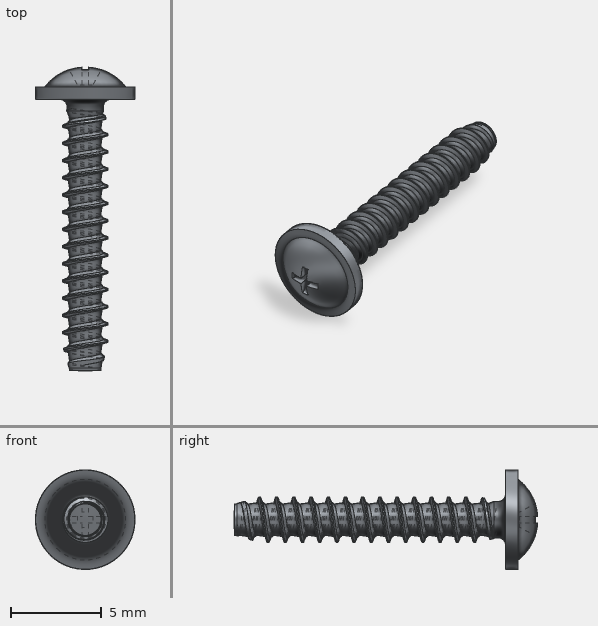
import cadquery as cq
import math


total_length = 16.77

flange_radius = 2.75
flange_thickness = 0.7
flange_edge_fillet = 0.05
dome_base_radius = 2.23
dome_height = 1.09
recess_width = 0.37
recess_top_radius = 0.89
recess_bottom_radius = 0.42
recess_depth = 1.0

core_radius = 0.87
neck_radius = 1.0
neck_fillet = 0.39
neck_length = 0.64
neck_cone_end = 1.0
tip_cone_height = 0.042

turns = 16
thread_span = 15.2
first_crest = 0.99
crest_radius = 1.25
crest_half_width = 0.03
flank_break_radius = 1.02
flank_break_offset = 0.12
base_offset = 0.3
lower_flank_radius = 0.94
lower_flank_offset = 0.12
root_sink = 0.008
root_gap = 0.025
ridge_inner_radius = 0.77

envelope_radius = 1.34
run_in_start = 0.5
run_in_end = 1.76
run_out_start = 13.27
run_out_end = 14.82
run_out_radius = 0.89

pitch = thread_span / turns
dome_radius = (dome_base_radius**2 + dome_height**2) / (2 * dome_height)
dome_apex = -flange_thickness - dome_height
recess_corner = recess_width / math.sqrt(2)
highest_point = dome_apex + dome_radius - math.sqrt(dome_radius**2 - recess_corner**2)
tip_end = total_length + highest_point


def head():
    flange = cq.Workplane("XY").circle(flange_radius).extrude(-flange_thickness)
    flange = flange.faces(">Z").edges().fillet(flange_edge_fillet)
    rim = -flange_thickness
    half_angle = math.asin(dome_base_radius / dome_radius) / 2
    mid_radius = dome_radius * math.sin(half_angle)
    mid_height = dome_apex + dome_radius * (1 - math.cos(half_angle))
    dome = (
        cq.Workplane("XZ")
        .moveTo(0, rim)
        .lineTo(dome_base_radius, rim)
        .threePointArc((mid_radius, mid_height), (0, dome_apex))
        .close()
        .revolve()
    )
    return flange.union(dome)


def cross_recess():
    """Two crossing slots whose ends lean in towards the flat floor."""
    mouth = dome_apex + dome_radius - math.sqrt(dome_radius**2 - recess_top_radius**2)
    floor = dome_apex + recess_depth
    slope = (recess_top_radius - recess_bottom_radius) / (floor - mouth)
    outer_radius = recess_top_radius + slope * (mouth - dome_apex)
    arm = (
        cq.Workplane("XZ")
        .polyline([
            (-outer_radius, dome_apex),
            (outer_radius, dome_apex),
            (recess_bottom_radius, floor),
            (-recess_bottom_radius, floor),
        ])
        .close()
        .extrude(recess_width / 2, both=True)
    )
    return arm.union(arm.rotate((0, 0, 0), (0, 0, 1), 90))


def shank():
    fillet_outer = neck_radius + neck_fillet
    diagonal = neck_fillet * math.sqrt(0.5)
    return (
        cq.Workplane("XZ")
        .lineTo(fillet_outer, 0)
        .threePointArc(
            (fillet_outer - diagonal, neck_fillet - diagonal),
            (neck_radius, neck_fillet),
        )
        .lineTo(neck_radius, neck_length)
        .lineTo(core_radius, neck_cone_end)
        .lineTo(core_radius, tip_end - tip_cone_height)
        .lineTo(0, tip_end)
        .close()
        .revolve()
    )


def thread():
    """One long helical ridge, trimmed by an envelope that fades it in and out."""
    start = first_crest - pitch
    root_radius = core_radius - root_sink
    next_base_offset = pitch - base_offset - root_gap
    profile = [
        (ridge_inner_radius, -base_offset),
        (root_radius, -base_offset),
        (flank_break_radius, -flank_break_offset),
        (crest_radius, -crest_half_width),
        (crest_radius, crest_half_width),
        (lower_flank_radius, lower_flank_offset),
        (root_radius, next_base_offset),
        (ridge_inner_radius, next_base_offset),
    ]
    helix = cq.Wire.makeHelix(pitch, thread_span, core_radius)
    helix = helix.translate(cq.Vector(0, 0, start))
    ridge = (
        cq.Workplane("XZ")
        .polyline([(radius, start + offset) for radius, offset in profile])
        .close()
        .sweep(cq.Workplane(obj=helix), isFrenet=True)
    )
    envelope = (
        cq.Workplane("XZ")
        .moveTo(0, run_in_start)
        .lineTo(neck_radius, run_in_start)
        .lineTo(envelope_radius, run_in_end)
        .lineTo(envelope_radius, run_out_start)
        .lineTo(run_out_radius, run_out_end)
        .lineTo(0, run_out_end)
        .close()
        .revolve()
    )
    return ridge.intersect(envelope)


screw = head().cut(cross_recess()).union(shank()).union(thread())
result = screw.rotate((0, 0, 0), (1, 0, 0), 90).solids()